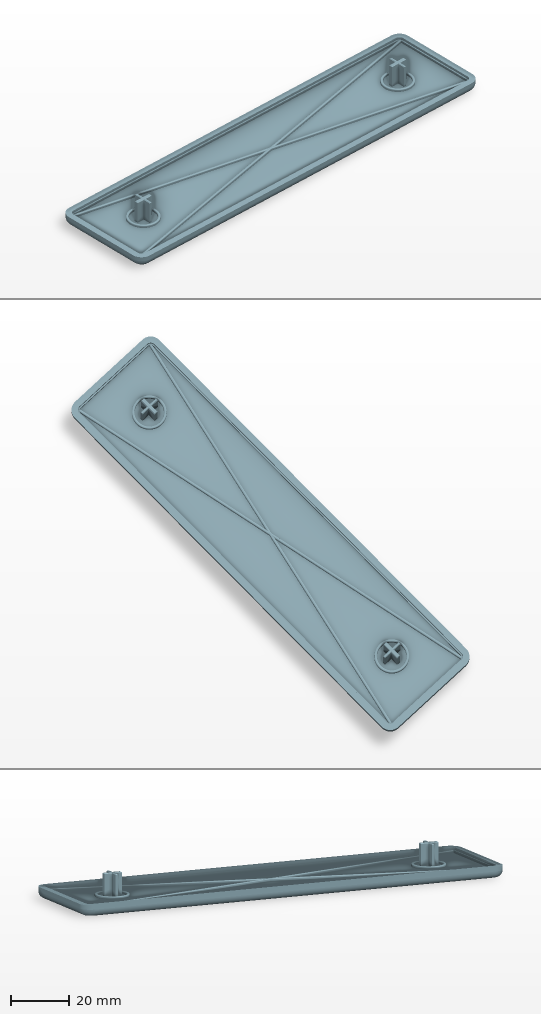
import cadquery as cq
import math

length = 159.9
width = 40.0
plate_height = 4.2
corner_radius = 4.0
bottom_round = 2.5

rim_width = 2.2
recess_depth = 1.9
floor_z = plate_height - recess_depth
ledge_width = 0.5
ledge_height = 1.0

bead_width = 1.0
bead_height = ledge_height
bead_top_round = 0.3

rib_aim_inset = 3.2
rib_overrun = 1.6

total_height = 10.5
post_height = total_height - floor_z
post_spacing = 120.0
post_size_x = 7.2
post_size_y = 6.7
post_web_x = 1.0
post_web_y = 1.5
post_top_chamfer = 0.24
ring_outer_diameter = 12.0
ring_mean_radius = (ring_outer_diameter - bead_width) / 2


def make_pocket(inset, bottom_z):
    """Round-cornered pocket volume, inset from the plate outline and open at the plate top."""
    return (
        cq.Workplane("XY", origin=(0, 0, bottom_z))
        .rect(width - 2 * inset, length - 2 * inset)
        .extrude(plate_height - bottom_z)
        .edges("|Z")
        .fillet(corner_radius - inset)
    )


def make_tray():
    """Rounded plate with its bottom edge rolled over and a stepped recess in its top."""
    plate = (
        cq.Workplane("XY")
        .box(width, length, plate_height, centered=(True, True, False))
        .edges("|Z")
        .fillet(corner_radius)
        .faces("<Z")
        .edges()
        .fillet(bottom_round)
    )
    upper_pocket = make_pocket(rim_width, floor_z + ledge_height)
    lower_pocket = make_pocket(rim_width + ledge_width, floor_z)
    return plate.cut(upper_pocket).cut(lower_pocket)


def bead_profile(middle):
    """Cross-section of a bead in the XZ plane, standing on the floor with rounded top corners."""
    half = bead_width / 2
    shoulder_z = bead_height - bead_top_round
    half_flat = half - bead_top_round
    arc_mid_x = half_flat + bead_top_round * math.sqrt(0.5)
    arc_mid_z = shoulder_z + bead_top_round * math.sqrt(0.5)
    return (
        cq.Workplane("XZ", origin=(0, 0, floor_z))
        .moveTo(middle - half, 0)
        .lineTo(middle + half, 0)
        .lineTo(middle + half, shoulder_z)
        .threePointArc((middle + arc_mid_x, arc_mid_z), (middle + half_flat, bead_height))
        .lineTo(middle - half_flat, bead_height)
        .threePointArc((middle - arc_mid_x, arc_mid_z), (middle - half, shoulder_z))
        .close()
    )


def make_rib(side):
    """Rib along one floor diagonal; side is +1 or -1 for the direction of its lean."""
    reach_x = width / 2 - rib_aim_inset
    reach_y = length / 2 - rib_aim_inset
    half_length = math.hypot(reach_x, reach_y) + rib_overrun
    lean = side * math.degrees(math.atan2(reach_x, reach_y))
    return bead_profile(0).extrude(half_length, both=True).rotate((0, 0, 0), (0, 0, 1), lean)


def make_post(y):
    """Two crossed webs rising from the tray floor, with their top edges chamfered."""
    base = cq.Workplane("XY", origin=(0, y, floor_z))
    web_along_x = base.rect(post_size_x, post_web_x).extrude(post_height)
    web_along_y = base.rect(post_web_y, post_size_y).extrude(post_height)
    return web_along_x.union(web_along_y).faces(">Z").edges().chamfer(post_top_chamfer)


def make_ring(y):
    """Circular bead around a post."""
    return bead_profile(ring_mean_radius).revolve(360, (0, 0, 0), (0, 1, 0)).translate((0, y, 0))


result = make_tray()
for side in (1, -1):
    result = result.union(make_rib(side))
for y in (-post_spacing / 2, post_spacing / 2):
    result = result.union(make_post(y)).union(make_ring(y))